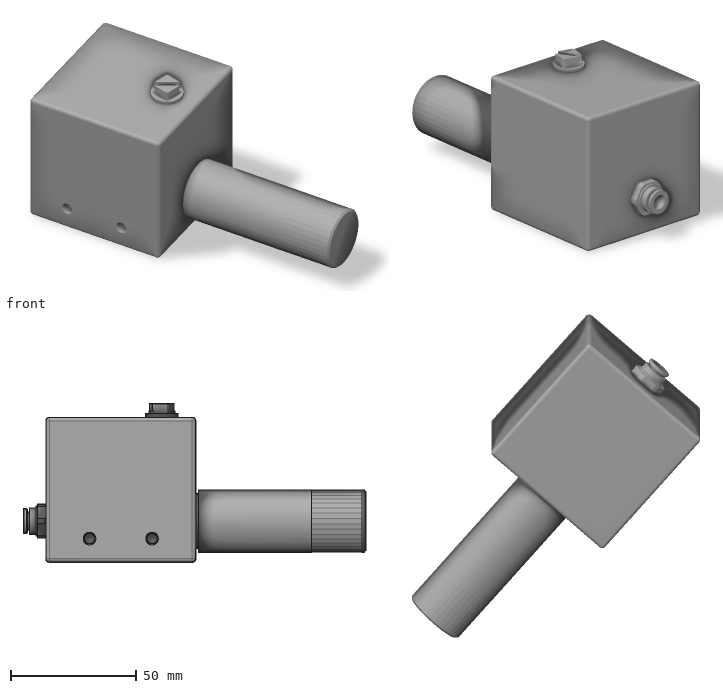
import cadquery as cq
import math

housing_length = 60.0
housing_width = 60.0
housing_height = 58.0
housing_edge_radius = 1.5

axis_height = 16.5

handle_length = 68.0
handle_diameter = 25.0
handle_neck_diameter = 22.0
handle_neck_length = 1.0
handle_end_chamfer = 0.8
facet_count = 36
facet_start = 46.3
end_ring_length = 1.6

nut_across_flats = 13.6
nut_corner_diameter = 14.7
nut_base_corner_diameter = 15.0
nut_base_length = 0.4
nut_length = 3.3
collar_diameter = 12.0
collar_end = 3.9
barrel_diameter = 10.6
barrel_end = 6.6
groove_diameter = 7.2
groove_end = 7.4
lip_diameter = 9.9
lip_chamfer = 0.4
connector_length = 8.87
socket_diameter = 6.0
socket_depth = 5.0
contact_diameter = 2.0
contact_depth = 1.5

screw_x = 46.4
screw_flange_diameter = 13.0
screw_flange_height = 1.5
screw_head_side = 8.8
screw_head_corner_diameter = 11.45
screw_head_height = 4.0
screw_head_angle = -15.0
screw_slot_angle = screw_head_angle + 45.0
screw_slot_width = 2.5
screw_slot_depth = 3.0

hole_spacing = 25.0
hole_height = 9.5
hole_diameter = 4.13
hole_rim_diameter = 5.0
hole_depth = 10.0
drill_point_angle = 118.0


def x_cylinder(diameter, x_start, x_end):
    """Cylinder along X on the common axis."""
    return (
        cq.Workplane("YZ", origin=(x_start, 0, axis_height))
        .circle(diameter / 2)
        .extrude(x_end - x_start)
    )


def make_housing():
    box = cq.Workplane("XY").box(
        housing_length, housing_width, housing_height, centered=(False, True, False)
    )
    return box.edges().fillet(housing_edge_radius)


def make_handle():
    body_start = housing_length + handle_neck_length
    grip_start = housing_length + facet_start
    tip = housing_length + handle_length
    grip_end = tip - end_ring_length

    neck = x_cylinder(handle_neck_diameter, housing_length - housing_edge_radius, body_start)
    sleeve = x_cylinder(handle_diameter, body_start, grip_start)
    grip = (
        cq.Workplane("YZ", origin=(grip_start, 0, axis_height))
        .transformed(rotate=(0, 0, 180 / facet_count))
        .polygon(facet_count, handle_diameter)
        .extrude(grip_end - grip_start)
    )
    end_ring = x_cylinder(handle_diameter, grip_end, tip).faces(">X").chamfer(handle_end_chamfer)
    return neck.union(sleeve).union(grip).union(end_ring)


def make_nut():
    """Hexagon nut with flats facing +Z and -Z and its corners turned round."""
    hexagon = (
        cq.Workplane("YZ", origin=(-nut_length, 0, axis_height))
        .polygon(6, nut_across_flats / math.cos(math.pi / 6))
        .extrude(nut_length + housing_edge_radius)
    )
    turned_limit = x_cylinder(nut_corner_diameter, -nut_length, -nut_base_length).union(
        x_cylinder(nut_base_corner_diameter, -nut_base_length, housing_edge_radius)
    )
    return hexagon.intersect(turned_limit)


def make_connector():
    collar = x_cylinder(collar_diameter, -collar_end, -nut_length)
    barrel = x_cylinder(barrel_diameter, -barrel_end, -collar_end)
    groove = x_cylinder(groove_diameter, -groove_end, -barrel_end)
    lip = x_cylinder(lip_diameter, -connector_length, -groove_end).faces(">X").chamfer(lip_chamfer)
    socket_floor = socket_depth - connector_length
    socket = x_cylinder(socket_diameter, -connector_length, socket_floor)
    contact = x_cylinder(contact_diameter, socket_floor, socket_floor + contact_depth)
    outside = make_nut().union(collar).union(barrel).union(groove).union(lip)
    return outside.cut(socket).cut(contact)


def make_screw():
    flange_top = housing_height + screw_flange_height
    head_top = flange_top + screw_head_height
    flange = (
        cq.Workplane("XY", origin=(screw_x, 0, housing_height))
        .circle(screw_flange_diameter / 2)
        .extrude(screw_flange_height)
    )
    head = (
        cq.Workplane("XY", origin=(screw_x, 0, flange_top))
        .transformed(rotate=(0, 0, screw_head_angle))
        .rect(screw_head_side, screw_head_side)
        .extrude(screw_head_height)
    )
    turned_limit = (
        cq.Workplane("XY", origin=(screw_x, 0, flange_top))
        .circle(screw_head_corner_diameter / 2)
        .extrude(screw_head_height)
    )
    slot = (
        cq.Workplane("XY", origin=(screw_x, 0, head_top))
        .transformed(rotate=(0, 0, screw_slot_angle))
        .rect(screw_flange_diameter, screw_slot_width)
        .extrude(-screw_slot_depth)
    )
    return flange.union(head.intersect(turned_limit).cut(slot))


def make_hole(x):
    """Cutter for one blind hole: rim chamfer, straight bore and drill point."""
    bore_radius = hole_diameter / 2
    rim_radius = hole_rim_diameter / 2
    rim_depth = rim_radius - bore_radius
    point_depth = bore_radius / math.tan(math.radians(drill_point_angle / 2))
    return (
        cq.Workplane("XY", origin=(x, -housing_width / 2, hole_height))
        .lineTo(rim_radius, 0)
        .lineTo(bore_radius, rim_depth)
        .lineTo(bore_radius, hole_depth)
        .lineTo(0, hole_depth + point_depth)
        .close()
        .revolve(360, (0, 0, 0), (0, 1, 0))
    )


result = make_housing().union(make_handle()).union(make_connector()).union(make_screw())
for side in (-1, 1):
    result = result.cut(make_hole(housing_length / 2 + side * hole_spacing / 2))